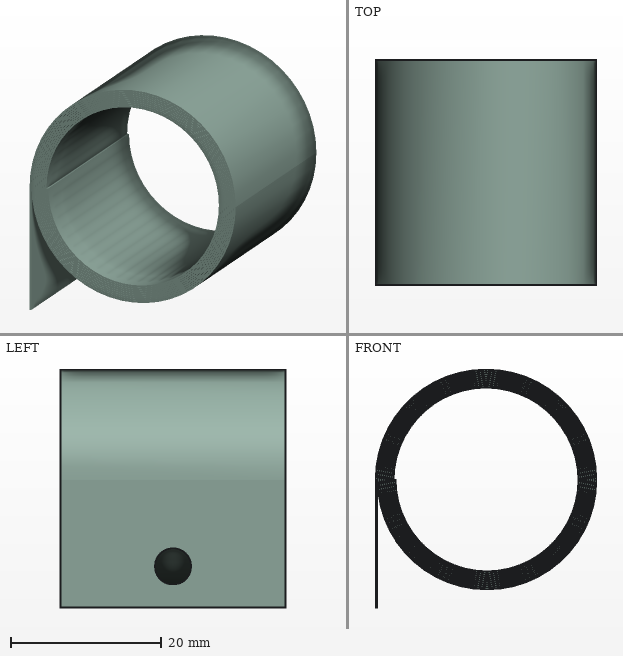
import cadquery as cq

strip_width = 30.0
thickness = 0.25
coil_gap = 0.015
pitch = thickness + coil_gap

outer_radius = 29.43 / 2
turns = 9

overall_height = 31.7
tail_length = overall_height - outer_radius
hole_diameter = 4.82
hole_height = 5.5


def wind_inward(sketch, start_radius):
    """Append the half circles of one strip face, from the outside in."""
    for turn in range(turns):
        upper_radius = start_radius - turn * pitch
        lower_radius = upper_radius - pitch / 2
        next_radius = upper_radius - pitch
        lower_center = upper_radius - lower_radius
        sketch = sketch.threePointArc((0, upper_radius), (upper_radius, 0))
        sketch = sketch.threePointArc((lower_center, -lower_radius), (-next_radius, 0))
    return sketch


def wind_outward(sketch, start_radius):
    """Append the half circles of the other strip face, from the inside out."""
    for turn in reversed(range(turns)):
        upper_radius = start_radius - turn * pitch
        lower_radius = upper_radius - pitch / 2
        lower_center = upper_radius - lower_radius
        sketch = sketch.threePointArc((lower_center, -lower_radius), (upper_radius, 0))
        sketch = sketch.threePointArc((0, upper_radius), (-upper_radius, 0))
    return sketch


def make_strip():
    """Coil and tail as one continuous strip, centred along Y."""
    inner_face_radius = outer_radius - thickness
    inner_end_x = -(inner_face_radius - turns * pitch)
    sketch = cq.Workplane("XZ").moveTo(-outer_radius, -tail_length)
    sketch = sketch.lineTo(-outer_radius, 0)
    sketch = wind_inward(sketch, outer_radius)
    sketch = sketch.lineTo(inner_end_x, 0)
    sketch = wind_outward(sketch, inner_face_radius)
    sketch = sketch.lineTo(-inner_face_radius, -tail_length).close()
    return sketch.extrude(strip_width / 2, both=True)


def make_tail_hole():
    """Cutter that passes through the tail only and stops short of the coil."""
    return (
        cq.Workplane("YZ", origin=(-outer_radius - thickness, 0, hole_height - tail_length))
        .circle(hole_diameter / 2)
        .extrude(2 * thickness + coil_gap)
    )


result = make_strip().cut(make_tail_hole())